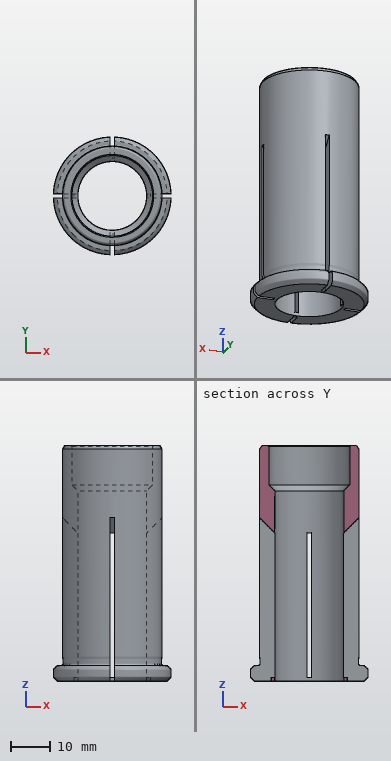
import cadquery as cq

height = 60.0
flange_radius = 15.0
body_radius = 25.4 / 2
bore_radius = 17.45 / 2
counterbore_radius = 20.5 / 2

flange_height = 4.0
flange_chamfer = 1.0
flange_corner_round = 0.4

undercut_depth = 0.1
undercut_top = 6.2
undercut_taper = 0.6
undercut_root_round = 0.4

mouth_chamfer_width = 0.55
mouth_chamfer_height = 0.95
mouth_corner_round = 0.35
inner_mouth_chamfer = 0.3

counterbore_depth = 10.0
seat_height = counterbore_radius - bore_radius

slot_count = 4
slot_width = 1.0
slot_top = 41.65
slot_ramp = body_radius - bore_radius
lip_height = 0.95
lip_thickness = 0.95
slot_clearance = 0.6


def round_ring(solid, radius, z, size):
    """Round the circular edge with the given radius and height."""
    margin = 0.03
    ring_box = cq.selectors.BoxSelector(
        (-radius - margin, -radius - margin, z - margin),
        (radius + margin, radius + margin, z + margin),
        boundingbox=True,
    )
    rings = solid.edges(ring_box).edges("%CIRCLE")
    rings = rings.filter(lambda ring: abs(ring.radius() - radius) < margin)
    return rings.fillet(size)


def make_sleeve():
    """Revolve the flanged sleeve with its stepped bore."""
    undercut_radius = body_radius - undercut_depth
    mouth_radius = body_radius - mouth_chamfer_width
    counterbore_floor = height - counterbore_depth
    flange_face_radius = flange_radius - flange_chamfer
    sleeve = (
        cq.Workplane("XZ")
        .moveTo(bore_radius, 0)
        .lineTo(flange_face_radius, 0)
        .lineTo(flange_radius, flange_chamfer)
        .lineTo(flange_radius, flange_height - flange_chamfer)
        .lineTo(flange_face_radius, flange_height)
        .lineTo(undercut_radius, flange_height)
        .lineTo(undercut_radius, undercut_top - undercut_taper)
        .lineTo(body_radius, undercut_top)
        .lineTo(body_radius, height - mouth_chamfer_height)
        .lineTo(mouth_radius, height)
        .lineTo(counterbore_radius + inner_mouth_chamfer, height)
        .lineTo(counterbore_radius, height - inner_mouth_chamfer)
        .lineTo(counterbore_radius, counterbore_floor)
        .lineTo(bore_radius, counterbore_floor - seat_height)
        .close()
        .revolve(360, (0, 0, 0), (0, 1, 0))
    )
    sleeve = round_ring(sleeve, flange_radius, flange_chamfer, flange_corner_round)
    sleeve = round_ring(sleeve, flange_radius, flange_height - flange_chamfer, flange_corner_round)
    sleeve = round_ring(sleeve, flange_face_radius, flange_height, flange_corner_round)
    sleeve = round_ring(sleeve, undercut_radius, flange_height, undercut_root_round)
    return round_ring(sleeve, mouth_radius, height, mouth_corner_round)


def make_slot():
    """Slot cutter on the +X side, leaving a thin lip around the bore at the base."""
    inner = bore_radius - slot_clearance
    outer = flange_radius + slot_clearance
    lip_radius = bore_radius + lip_thickness
    return (
        cq.Workplane("XZ")
        .moveTo(inner, lip_height)
        .lineTo(lip_radius, lip_height)
        .lineTo(lip_radius, -slot_clearance)
        .lineTo(outer, -slot_clearance)
        .lineTo(outer, slot_top + outer - body_radius)
        .lineTo(inner, slot_top - slot_ramp - slot_clearance)
        .close()
        .extrude(slot_width / 2, both=True)
    )


result = make_sleeve()
slot = make_slot()
for index in range(slot_count):
    angle = index * 360 / slot_count
    result = result.cut(slot.rotate((0, 0, 0), (0, 0, 1), angle))